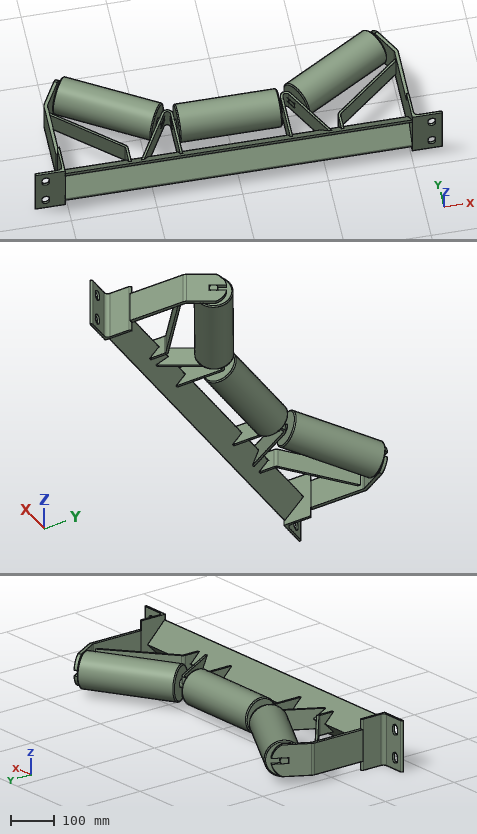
import cadquery as cq
import math

angle_leg = 70.0
angle_thickness = 6.0
angle_toe_radius = 4.0
angle_root_radius = 9.5

overall_length = 950.0
foot_width = 125.0
foot_inner_x = overall_length / 2 - angle_leg

slot_width = 17.0
slot_length = 26.0
slot_edge_distance = 25.0
slot_spacing = 68.0

trough_angle = 30.0
roller_diameter = 89.0
roller_length = 239.0
roller_edge_chamfer = 3.0
shaft_diameter = 20.0
shaft_flat_width = 14.0
center_roller_y = 134.0
side_roller_x = 265.0
side_roller_y = 206.0

slot_cut_top = 57.0

strip_root_y = 9.5

upright_thickness = 9.0
upright_width = 78.0
upright_bend_radius = 12.0
upright_bend_y = 214.0
upright_top_length = 96.0
upright_end_radius = 43.0

bracket_thickness = 6.0
bracket_width = 49.0
bracket_bend_radius = 10.0
bracket_inner_leg_x = 128.0
bracket_fold_y = 184.0

brace_thickness = 6.0
brace_width = 49.0
brace_bend_radius = 9.0
brace_foot_x = 248.0
brace_bend_y = 71.0
brace_top_y = 203.0

sharp_beam_height = (angle_leg + angle_thickness) / math.sqrt(2)
toe_rounding_loss = angle_toe_radius * (math.sqrt(2) - 1)
beam_crest_y = sharp_beam_height - toe_rounding_loss


def angle_bar(length):
    """Angle section in XY with its heel at the origin, extruded symmetrically along Z."""
    bar = (
        cq.Workplane("XY")
        .polyline(
            [
                (0, 0),
                (angle_leg, 0),
                (angle_leg, angle_thickness),
                (angle_thickness, angle_thickness),
                (angle_thickness, angle_leg),
                (0, angle_leg),
            ]
        )
        .close()
        .extrude(length / 2, both=True)
    )
    rounded_edges = [
        ((angle_thickness, angle_thickness, 0), angle_root_radius),
        ((angle_leg, angle_thickness, 0), angle_toe_radius),
        ((angle_thickness, angle_leg, 0), angle_toe_radius),
    ]
    for point, radius in rounded_edges:
        bar = bar.edges(cq.selectors.NearestToPointSelector(point)).fillet(radius)
    return bar


def bent_strip(start, bend, end, bend_radius, thickness, width):
    """Flat strip centred on Z = 0 whose middle line runs start - bend - end in XY."""
    start, bend, end = cq.Vector(*start), cq.Vector(*bend), cq.Vector(*end)
    incoming = (bend - start).normalized()
    outgoing = (end - bend).normalized()
    tangent_length = bend_radius * math.tan(incoming.getAngle(outgoing) / 2)
    arc_start = bend - incoming * tangent_length
    arc_end = bend + outgoing * tangent_length
    middle_line = (
        cq.Workplane("XY")
        .moveTo(start.x, start.y)
        .lineTo(arc_start.x, arc_start.y)
        .tangentArcPoint((arc_end.x, arc_end.y), relative=False)
        .lineTo(end.x, end.y)
    )
    section_plane = cq.Plane(origin=start.toTuple(), xDir=(0, 0, 1), normal=incoming.toTuple())
    return cq.Workplane(section_plane).rect(width, thickness).sweep(middle_line)


def mirror_across(body):
    """Copy of a body on the other side of the middle plane X = 0."""
    return body.mirror("YZ")


tilt = math.radians(trough_angle)
center_axis = cq.Plane(origin=(0, center_roller_y, 0), xDir=(1, 0, 0), normal=(0, 0, 1))
side_axis = cq.Plane(
    origin=(side_roller_x, side_roller_y, 0),
    xDir=(math.cos(tilt), math.sin(tilt), 0),
    normal=(0, 0, 1),
)

upright_middle_x = foot_inner_x + upright_thickness / 2
upright_bend = (upright_middle_x, upright_bend_y)
upright_bend_local = side_axis.toLocalCoords(cq.Vector(*upright_bend))
upright_outer_face = upright_bend_local.x + upright_thickness / 2
upright_tip = upright_bend_local.y + upright_top_length

bracket_fold = (bracket_inner_leg_x, bracket_fold_y)
bracket_center_face = bracket_inner_leg_x + bracket_thickness / 2
bracket_side_face = side_axis.toLocalCoords(cq.Vector(*bracket_fold)).x - bracket_thickness / 2


def beam_envelope():
    """Solid triangular prism under the two outer faces of the beam."""
    return (
        cq.Workplane("YZ")
        .polyline([(beam_crest_y, 0), (0, beam_crest_y), (0, -beam_crest_y)])
        .close()
        .extrude(foot_inner_x, both=True)
    )


def shaft_slot(axis, x_start, x_end):
    """Cutter for an open-ended slot that starts under the shaft and runs up past the plate end."""
    return (
        cq.Workplane(axis)
        .moveTo(x_start, -shaft_diameter / 2)
        .lineTo(x_end, -shaft_diameter / 2)
        .lineTo(x_end, slot_cut_top)
        .lineTo(x_start, slot_cut_top)
        .close()
        .extrude(shaft_flat_width / 2, both=True)
    )


def make_bracket():
    """Folded bracket standing on the beam, with a slot for a shaft end in each leg."""
    leg_spread = (bracket_fold_y - strip_root_y) * math.tan(tilt)
    strip = bent_strip(
        (bracket_inner_leg_x, strip_root_y),
        bracket_fold,
        (bracket_inner_leg_x + leg_spread, strip_root_y),
        bracket_bend_radius,
        bracket_thickness,
        bracket_width,
    )
    center_slot = shaft_slot(center_axis, 0, bracket_center_face)
    side_slot = shaft_slot(side_axis, bracket_side_face, 0)
    return strip.cut(center_slot).cut(side_slot).cut(beam_envelope())


def make_beam():
    """Angle beam, heel up, with the two folded brackets welded on."""
    bar = (
        angle_bar(2 * foot_inner_x)
        .rotate((0, 0, 0), (0, 0, 1), -135)
        .rotate((0, 0, 0), (0, 1, 0), 90)
        .translate((0, beam_crest_y, 0))
    )
    bracket = make_bracket()
    return bar.union(bracket).union(mirror_across(bracket))


def make_foot():
    """Angle foot with its upright leg against the beam end and two mounting slots."""
    foot = angle_bar(foot_width).translate((foot_inner_x, 0, 0))
    slots = (
        cq.Workplane("XZ")
        .center(overall_length / 2 - slot_edge_distance, 0)
        .rarray(9.5, slot_spacing, 1, 2)
        .slot2D(slot_length, slot_width, 90)
        .extrude(-angle_thickness)
    )
    return foot.cut(slots)


def upright_corner_waste():
    """Material outside the arched end of the upright."""
    arch_center = upright_tip - upright_end_radius
    end_plane = cq.Plane(
        origin=side_axis.toWorldCoords((upright_outer_face, arch_center)).toTuple(),
        xDir=(0, 0, -1),
        normal=side_axis.xDir.toTuple(),
    )
    return (
        cq.Workplane(end_plane)
        .moveTo(upright_end_radius, 0)
        .threePointArc((0, upright_end_radius), (-upright_end_radius, 0))
        .lineTo(-upright_end_radius, 2 * upright_end_radius)
        .lineTo(upright_end_radius, 2 * upright_end_radius)
        .close()
        .extrude(-upright_thickness)
    )


def make_upright():
    """Plate on top of the foot, bent inwards, with an arched and slotted end."""
    tip = side_axis.toWorldCoords((upright_bend_local.x, upright_tip))
    strip = bent_strip(
        (upright_middle_x, angle_leg),
        upright_bend,
        (tip.x, tip.y),
        upright_bend_radius,
        upright_thickness,
        upright_width,
    )
    slot = shaft_slot(side_axis, upright_outer_face - upright_thickness, upright_outer_face)
    return strip.cut(upright_corner_waste()).cut(slot)


def make_brace():
    """Bent strip from the beam up to the middle of the upright plate."""
    strip = bent_strip(
        (brace_foot_x, strip_root_y),
        (brace_foot_x, brace_bend_y),
        (upright_middle_x, brace_top_y),
        brace_bend_radius,
        brace_thickness,
        brace_width,
    )
    return strip.cut(beam_envelope())


def make_side_support():
    """Foot, upright and brace welded into one support."""
    return make_foot().union(make_upright()).union(make_brace())


def cylinder_along(axis, diameter, x_start, x_end):
    """Round bar along the local X of a roller axis."""
    section = cq.Plane(
        origin=axis.toWorldCoords((x_start, 0)).toTuple(),
        xDir=(0, 0, 1),
        normal=axis.xDir.toTuple(),
    )
    return cq.Workplane(section).circle(diameter / 2).extrude(x_end - x_start)


def make_shaft(axis, x_start, x_end, flat_ranges):
    """Round shaft along the local X of an axis, with two flats wherever it sits in a slot."""
    shaft = cylinder_along(axis, shaft_diameter, x_start, x_end)
    for flat_start, flat_end in flat_ranges:
        flatted_end = cylinder_along(axis, shaft_diameter, flat_start, flat_end)
        shaft = shaft.cut(flatted_end.cut(shaft_slot(axis, flat_start, flat_end)))
    return shaft


def make_roller(axis):
    """Roller shell with chamfered rims, bored through for its shaft."""
    half_length = roller_length / 2
    shell = cylinder_along(axis, roller_diameter, -half_length, half_length)
    shell = shell.edges().chamfer(roller_edge_chamfer)
    return shell.cut(cylinder_along(axis, shaft_diameter, -half_length, half_length))


beam = make_beam()
side_support = make_side_support()

center_roller = make_roller(center_axis)
center_shaft = make_shaft(
    center_axis,
    -bracket_center_face,
    bracket_center_face,
    [
        (-bracket_center_face, bracket_thickness - bracket_center_face),
        (bracket_center_face - bracket_thickness, bracket_center_face),
    ],
)
side_roller = make_roller(side_axis)
side_shaft = make_shaft(
    side_axis,
    bracket_side_face,
    upright_outer_face,
    [
        (bracket_side_face, bracket_side_face + bracket_thickness),
        (upright_outer_face - upright_thickness, upright_outer_face),
    ],
)

bodies = [beam, center_roller, center_shaft]
for body in (side_support, side_roller, side_shaft):
    bodies += [body, mirror_across(body)]

result = cq.Compound.makeCompound([body.solids().val() for body in bodies])